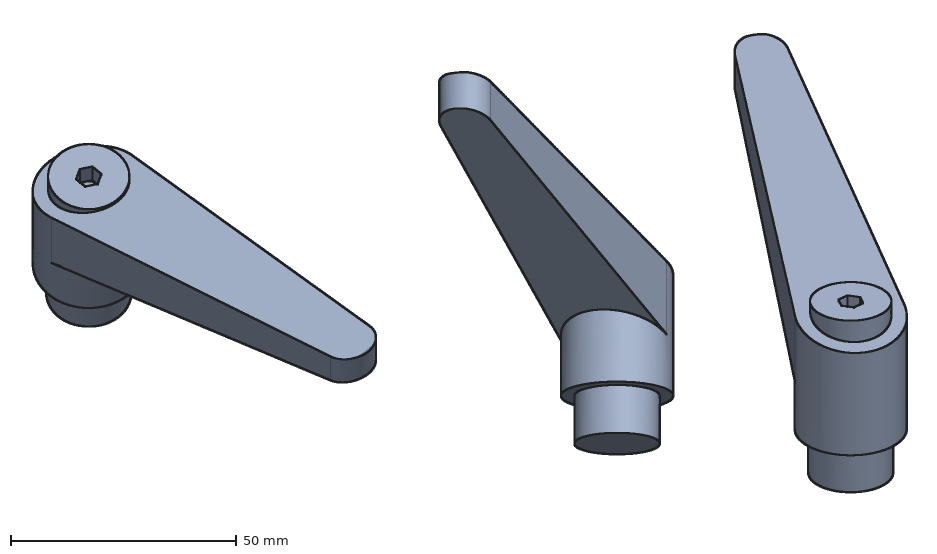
import cadquery as cq
import math

HUB_DIAMETER = 25.0
HUB_RADIUS = HUB_DIAMETER / 2
FOOT_DIAMETER = 19.0
FOOT_HEIGHT = 11.0
OVERALL_LENGTH = 101.5
OVERALL_HEIGHT = 63.7

TIP_RADIUS = 6.1
TOP_SLOPE = math.tan(math.radians(15))
UNDERSIDE_SLOPE = math.tan(math.radians(20))
TIP_THICKNESS = 8.2
TIP_FLAT_LENGTH = 0.5
TIP_END = OVERALL_LENGTH - HUB_RADIUS
TIP_CENTER = TIP_END - TIP_RADIUS
TIP_FLAT_START = TIP_END - TIP_FLAT_LENGTH

HEAD_DIAMETER = 18.1
HEAD_TOP = 43.0
SOCKET_ACROSS_FLATS = 5.0
SOCKET_DEPTH = 5.1
SOCKET_CONE_ANGLE = 120.0


def top_height(x):
    """Height of the sloping top face at a distance x from the hub axis."""
    return OVERALL_HEIGHT - (TIP_FLAT_START - x) * TOP_SLOPE


def underside_height(x):
    """Height of the sloping arm underside at a distance x from the hub axis."""
    return OVERALL_HEIGHT - TIP_THICKNESS - (TIP_END - x) * UNDERSIDE_SLOPE


def side_profile(points):
    """Prism of the given XZ outline, spanning the full hub width."""
    return cq.Workplane("XZ").polyline(points).close().extrude(HUB_RADIUS, both=True)


def make_arm():
    """Plan outline of tangent sides and round tip, cut to a sloping profile with a small level tip flat."""
    taper_sine = (HUB_RADIUS - TIP_RADIUS) / TIP_CENTER
    taper_cosine = math.sqrt(1 - taper_sine**2)
    hub_x = HUB_RADIUS * taper_sine
    hub_y = HUB_RADIUS * taper_cosine
    tip_x = TIP_CENTER + TIP_RADIUS * taper_sine
    tip_y = TIP_RADIUS * taper_cosine
    plan = (
        cq.Workplane("XY")
        .moveTo(hub_x, -hub_y)
        .lineTo(tip_x, -tip_y)
        .threePointArc((TIP_END, 0), (tip_x, tip_y))
        .lineTo(hub_x, hub_y)
        .close()
        .extrude(OVERALL_HEIGHT)
    )
    profile = side_profile([
        (hub_x, underside_height(hub_x)),
        (TIP_END, underside_height(TIP_END)),
        (TIP_END, OVERALL_HEIGHT),
        (TIP_FLAT_START, OVERALL_HEIGHT),
        (hub_x, top_height(hub_x)),
    ])
    return plan.intersect(profile)


def make_hub():
    """Round hub whose top follows the slope of the arm."""
    cylinder = (
        cq.Workplane("XY")
        .workplane(offset=FOOT_HEIGHT)
        .circle(HUB_RADIUS)
        .extrude(OVERALL_HEIGHT - FOOT_HEIGHT)
    )
    profile = side_profile([
        (-HUB_RADIUS, FOOT_HEIGHT),
        (HUB_RADIUS, FOOT_HEIGHT),
        (HUB_RADIUS, top_height(HUB_RADIUS)),
        (-HUB_RADIUS, top_height(-HUB_RADIUS)),
    ])
    return cylinder.intersect(profile)


def make_socket():
    """Hexagon socket ending in a conical drill point."""
    across_corners = SOCKET_ACROSS_FLATS / math.cos(math.radians(30))
    hexagon = (
        cq.Workplane("XY")
        .workplane(offset=HEAD_TOP)
        .polygon(6, across_corners)
        .extrude(-SOCKET_DEPTH)
    )
    cone_radius = SOCKET_ACROSS_FLATS / 2
    cone_depth = cone_radius / math.tan(math.radians(SOCKET_CONE_ANGLE / 2))
    cone_base = cq.Vector(0, 0, HEAD_TOP - SOCKET_DEPTH)
    cone = cq.Solid.makeCone(cone_radius, 0, cone_depth, cone_base, cq.Vector(0, 0, -1))
    return hexagon.union(cq.Workplane(cone))


foot = cq.Workplane("XY").circle(FOOT_DIAMETER / 2).extrude(FOOT_HEIGHT)
head = (
    cq.Workplane("XY")
    .workplane(offset=FOOT_HEIGHT)
    .circle(HEAD_DIAMETER / 2)
    .extrude(HEAD_TOP - FOOT_HEIGHT)
)

result = make_hub().union(make_arm()).union(foot).union(head).cut(make_socket())